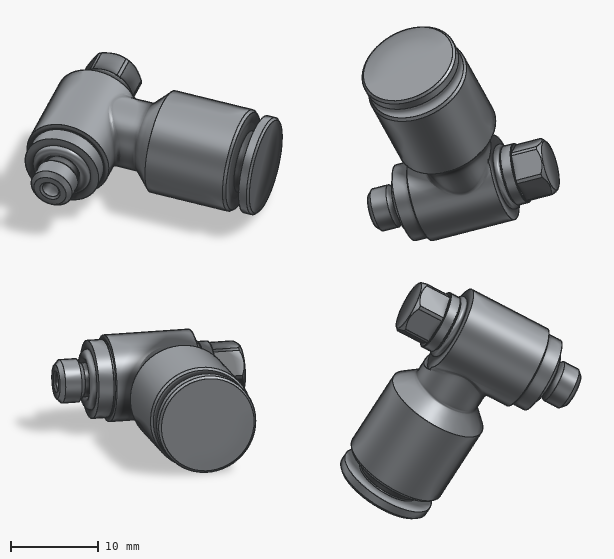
import cadquery as cq
import math


overall_length = 26.8
overall_width = 21.7

body_radius = 10.0 / 2
body_back = 3.5
body_front = -6.5

branch_radius = 8.0 / 2
branch_fillet = 0.5
sleeve_radius = 12.0 / 2
cone_start = 7.24
cone_end = cone_start + sleeve_radius - branch_radius
cone_fillet = 0.43
sleeve_end = 19.03
sleeve_chamfer = 0.32
sleeve_end_radius = 11.5 / 2
lip_radius = 9.0 / 2
lip_end = 19.25
button_neck_radius = 7.3 / 2
button_start = 20.58
button_flare = 0.13
button_end = overall_length - body_radius
button_radius = 11.5 / 2
button_chamfer = 0.27

stem_radius = 6.3 / 2
ring_wire_radius = 0.389
ring_radius = 7.7 / 2 - ring_wire_radius
ring_gap = 0.54
collar_start = 4.42
collar_radius = 7.0 / 2
collar_chamfer = 0.08
hex_start = 5.68
head_end = 9.22
hex_flats = 6.0
hex_corner_radius = 3.35
hex_chamfer = 0.45

screw_end = head_end - overall_width
groove_radius = 8.85 / 2
washer_radius = 9.0 / 2
washer_back = -6.73
washer_front = -8.52
seal_radius = 2.85
seal_wire_radius = 0.67
screw_neck_radius = 3.9 / 2
thread_radius = 5.0 / 2
thread_start = -9.5
thread_chamfer = 0.54
bore_radius = 2.0 / 2
bore_mouth_radius = 2.5 / 2
bore_depth = 3.0


def y_cylinder(radius, y_start, y_end):
    """Solid cylinder on the screw axis between two Y positions."""
    low = min(y_start, y_end)
    length = abs(y_end - y_start)
    return cq.Workplane("XZ", origin=(0, low, 0)).circle(radius).extrude(-length)


def make_elbow():
    """Swivel body with the branch blended into its side."""
    overhang_end = body_back + 2 * branch_radius
    body = y_cylinder(body_radius, body_front, overhang_end)
    branch = cq.Workplane("YZ").circle(branch_radius).extrude(cone_start)
    joint = cq.selectors.BoxSelector(
        (0.27, -sleeve_radius, -sleeve_radius),
        (body_radius + 0.27, sleeve_radius, sleeve_radius),
        boundingbox=True,
    )
    elbow = body.union(branch).edges(joint).fillet(branch_fillet)

    blend_x = body_radius + branch_fillet
    blend_z = blend_x * branch_radius / (branch_radius + branch_fillet)
    surplus = (
        cq.Workplane("XZ", origin=(0, body_back, 0))
        .ellipse(blend_x, blend_z)
        .extrude(-overhang_end)
    )
    beyond_branch = cq.Workplane("XY").box(
        4 * sleeve_radius, overhang_end, 4 * sleeve_radius, centered=(True, False, True)
    ).translate((0, branch_radius, 0))
    body_surplus = y_cylinder(body_radius, body_back, overhang_end)
    return elbow.cut(surplus).cut(body_surplus).cut(beyond_branch)


def make_socket():
    """Cone, sleeve and release button, revolved about X."""
    half_turn = math.radians(45 / 2)
    cone_tangent = cone_fillet * math.tan(half_turn)
    cone_rise = cone_tangent * math.sqrt(0.5)
    arc_middle_x = cone_start - cone_tangent + cone_fillet * math.sin(half_turn)
    arc_middle_r = branch_radius + cone_fillet * (1 - math.cos(half_turn))
    return (
        cq.Workplane("XY")
        .moveTo(body_radius, 0)
        .lineTo(body_radius, branch_radius - branch_fillet)
        .lineTo(cone_start - cone_tangent, branch_radius - branch_fillet)
        .lineTo(cone_start - cone_tangent, branch_radius)
        .threePointArc(
            (arc_middle_x, arc_middle_r),
            (cone_start + cone_rise, branch_radius + cone_rise),
        )
        .lineTo(cone_end, sleeve_radius)
        .lineTo(sleeve_end - sleeve_chamfer, sleeve_radius)
        .lineTo(sleeve_end, sleeve_end_radius)
        .lineTo(sleeve_end, lip_radius)
        .lineTo(lip_end, button_neck_radius)
        .lineTo(button_start - button_flare, button_neck_radius)
        .lineTo(button_start, button_neck_radius + button_flare)
        .lineTo(button_start, button_radius)
        .lineTo(button_end - button_chamfer, button_radius)
        .lineTo(button_end, button_radius - button_chamfer)
        .lineTo(button_end, 0)
        .close()
        .revolve(360, (0, 0, 0), (1, 0, 0))
    )


def make_split_ring():
    """Round-wire retaining ring with its gap on the +Z side."""
    ring = (
        cq.Workplane("XY", origin=(ring_radius, body_back + ring_wire_radius, 0))
        .transformed(rotate=(0, 0, 180))
        .circle(ring_wire_radius)
        .revolve(360, (ring_radius, 0, 0), (ring_radius, 1, 0))
    )
    gap = cq.Workplane("XY", origin=(0, body_back + ring_wire_radius, 0)).box(
        ring_gap, 4 * ring_wire_radius, 2 * ring_radius, centered=(True, True, False)
    )
    return ring.cut(gap)


def make_head():
    """Stem, collar and hexagon with trimmed corners and a chamfered end."""
    stem = y_cylinder(stem_radius, 0, hex_start)
    collar = y_cylinder(collar_radius, collar_start, hex_start).faces(">Y").chamfer(collar_chamfer)
    hexagon = (
        cq.Workplane("XZ", origin=(0, hex_start, 0))
        .transformed(rotate=(0, 0, 30))
        .polygon(6, hex_flats, circumscribed=True)
        .extrude(hex_start - head_end)
    )
    envelope = y_cylinder(hex_corner_radius, hex_start, head_end).faces(">Y").chamfer(hex_chamfer)
    return stem.union(collar).union(hexagon.intersect(envelope)).union(make_split_ring())


def make_screw_end():
    """Washer, sealing ring and threaded tip with its bore."""
    groove = y_cylinder(groove_radius, 0, washer_back)
    washer = y_cylinder(washer_radius, washer_back, washer_front)
    seal = (
        cq.Workplane("XY")
        .moveTo(seal_radius - seal_wire_radius, washer_front)
        .threePointArc(
            (seal_radius, washer_front - seal_wire_radius),
            (seal_radius + seal_wire_radius, washer_front),
        )
        .close()
        .revolve(360, (0, 0, 0), (0, 1, 0))
    )
    neck = y_cylinder(screw_neck_radius, washer_front, thread_start)
    thread = y_cylinder(thread_radius, thread_start, screw_end).faces("<Y or >Y").chamfer(thread_chamfer)
    bore = y_cylinder(bore_radius, screw_end, screw_end + bore_depth)
    screw = groove.union(washer).union(seal).union(neck).union(thread)
    bore_rim = cq.selectors.RadiusNthSelector(0)
    return screw.cut(bore).faces("<Y").edges(bore_rim).chamfer(bore_mouth_radius - bore_radius)


result = make_elbow().union(make_socket()).union(make_head()).union(make_screw_end())